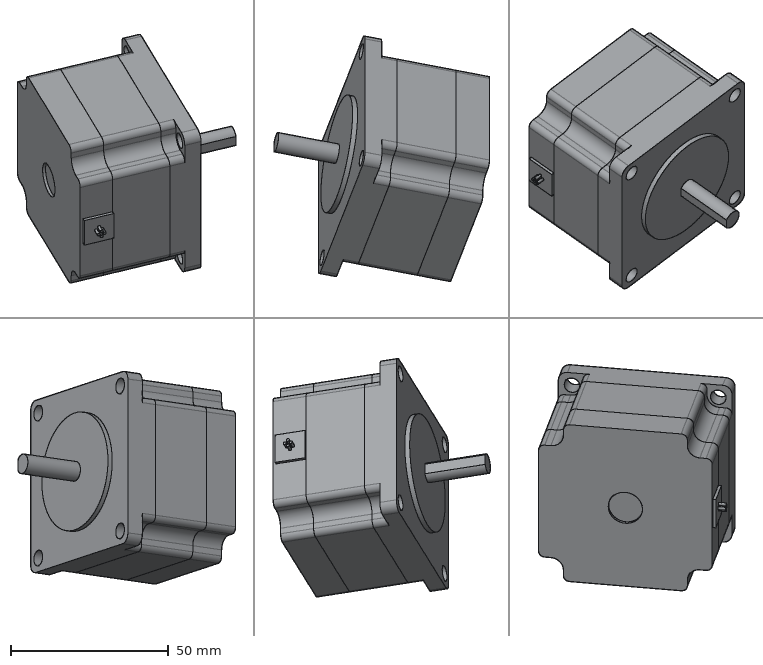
import cadquery as cq


side = 56.0
housing_length = 41.0
front_cap_length = 10.6
rear_cap_length = 11.0
stator_length = housing_length - front_cap_length - rear_cap_length

flange_thickness = 5.5
flange_corner_radius = 3.0
hole_spacing = 47.15
hole_diameter = 5.0

relief_size = 8.0
relief_inner_radius = 4.0
relief_edge_radius = 2.0

boss_diameter = 38.05
boss_height = 1.6
shaft_diameter = 6.3
shaft_length = 20.0
shaft_flat_offset = 2.6

recess_diameter = 11.0
recess_depth = 1.0

plate_size = 10.0
plate_thickness = 1.0
wire_diameter = 1.0
wire_length = 2.45
wire_count = 4
wire_circle_radius = wire_diameter

flange_back = -flange_thickness
stator_front = -front_cap_length
stator_back = stator_front - stator_length
rear_face = -housing_length


def plane_at(y):
    """Workplane across the motor at the given Y, facing +Y and centred on the shaft axis."""
    return cq.Workplane(cq.Plane(origin=(0, y, 0), xDir=(-1, 0, 0), normal=(0, 1, 0)))


def plane_facing_x(x, y):
    """Workplane facing +X at the given X and Y, at the height of the shaft axis."""
    return cq.Workplane("YZ", origin=(x, y, 0))


def relieved_block(y_back, length):
    """Square block with a rounded relief along each of its four long edges."""
    cutters = (
        plane_at(y_back)
        .rect(side, side, forConstruction=True)
        .vertices()
        .rect(2 * relief_size, 2 * relief_size)
        .extrude(length)
        .edges("|Y")
        .fillet(relief_inner_radius)
    )
    block = plane_at(y_back).rect(side, side).extrude(length).cut(cutters)
    for outer_face in ("<X", ">X", "<Z", ">Z"):
        block = block.faces(outer_face).edges("|Y").fillet(relief_edge_radius)
    return block


def make_front_cap():
    """Flange with screw holes, pilot boss and shaft, on a relieved block."""
    block = relieved_block(stator_front, front_cap_length - flange_thickness)
    flange = (
        plane_at(flange_back)
        .rect(side, side)
        .extrude(flange_thickness)
        .edges("|Y")
        .fillet(flange_corner_radius)
    )
    holes = (
        plane_at(flange_back)
        .rect(hole_spacing, hole_spacing, forConstruction=True)
        .vertices()
        .circle(hole_diameter / 2)
        .extrude(flange_thickness)
    )
    boss = plane_at(0).circle(boss_diameter / 2).extrude(boss_height)
    return block.union(flange.cut(holes)).union(boss).union(make_shaft())


def make_shaft():
    """Shaft with one flat along its whole length."""
    shaft = plane_at(boss_height).circle(shaft_diameter / 2).extrude(shaft_length)
    flat_cutter = (
        plane_facing_x(shaft_flat_offset, boss_height + shaft_length / 2)
        .rect(shaft_length, shaft_diameter)
        .extrude(shaft_diameter)
    )
    return shaft.cut(flat_cutter)


def make_stator():
    """Plain relieved block between the two caps."""
    return relieved_block(stator_back, stator_length)


def make_rear_cap():
    """Relieved block with the rear recess and the cable outlet."""
    recess = plane_at(rear_face).circle(recess_diameter / 2).extrude(recess_depth)
    return relieved_block(rear_face, rear_cap_length).cut(recess).union(make_cable_outlet())


def make_cable_outlet():
    """Plate flush with the front of the rear cap, and four wires in a diamond."""
    outlet_y = stator_back - plate_size / 2
    plate_outer_x = side / 2 + plate_thickness
    plate = (
        plane_facing_x(side / 2, outlet_y)
        .rect(plate_size, plate_size)
        .extrude(plate_thickness)
    )
    wires = (
        plane_facing_x(plate_outer_x, outlet_y)
        .polarArray(wire_circle_radius, 0, 360, wire_count)
        .circle(wire_diameter / 2)
        .extrude(wire_length)
    )
    return plate.union(wires)


front_cap = make_front_cap()
stator = make_stator()
rear_cap = make_rear_cap()

result = cq.Compound.makeCompound([front_cap.val(), stator.val(), rear_cap.val()])